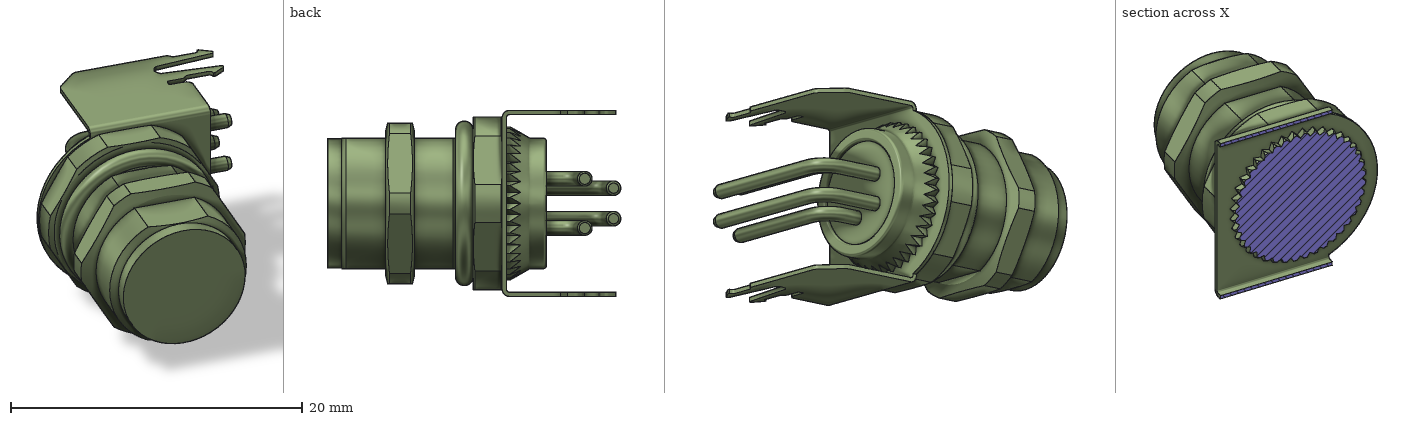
import cadquery as cq
import math


barrel_radius = 4.5
rear_end_x = -3.05
rear_rounding = 0.22
recess_radius = 3.6
recess_depth = 0.22
recess_rounding = 0.2
tooth_cone_start_x = -1.9
tooth_cone_angle = 30
tooth_cone_root_fillet = 0.2
tooth_count = 40
tooth_tip_radius = 5.28
tooth_root_radius = 4.85

flange_length = 2.0
flange_corner_radius = 6.25
flange_flat_distance = 5.95
flange_rear_chamfer = 0.06
flange_rear_face_radius = 6.05
flange_front_chamfer = 0.12
flange_front_face_radius = 5.88

thread_radius = 5.0
thread_flat_distance = barrel_radius
thread_start_x = 3.08
thread_end_x = 11.02
thread_chamfer = 0.28
tip_radius = 4.45
tip_end_x = 11.99

ring_section_radius = 0.6
ring_center_x = flange_length + ring_section_radius
ring_center_radius = tip_radius + ring_section_radius

nut_start_x = 6.02
nut_thickness = 1.97
nut_corner_radius = 6.0
nut_flat_distance = 5.52
nut_chamfer = 0.26

pin_radius = 0.5
pin_bend_radius = 1.5
pin_taper_ratio = 0.4
outer_pins = dict(vertical_x=-5.68, lead_y=0.48, offset_z=1.7, tip_y=9.75, taper_length=0.3)
inner_pins = dict(vertical_x=-7.65, lead_y=-1.47, offset_z=1.05, tip_y=9.57, taper_length=0.38)

sheet_thickness = 0.3
bracket_height = 12.8
bracket_half_height = bracket_height / 2
bend_inner_radius = 0.2
bend_outer_radius = bend_inner_radius + sheet_thickness
bracket_round_radius = 6.3
bracket_top_y = 6.29
bracket_bottom_y = -2.5
bracket_rear_x = -7.82
bracket_corner_cut = 1.6
bracket_corner_radius = 0.6

prong_width = 3.32
prong_half_width = prong_width / 2
prong_center_x = bracket_rear_x + prong_half_width
barb_overhang = 0.3
prong_neck_half_width = prong_half_width - barb_overhang
prong_shoulder_y = 5.95
prong_neck_y = 6.25
barb_under_y = 8.04
barb_low_y = 8.12
barb_high_y = 8.25
prong_tip_y = 9.07
prong_tip_outer = 1.15
prong_tip_inner = 0.9
prong_corner_radius = 0.25
prong_tip_rounding = 0.15
split_bottom_half_width = 0.5
split_side_y = 4.72
split_bottom_y = 4.41

slot_width = 0.48
slot_bottom_y = 4.72
slot_corner_radius = 0.12
slot_mouth_radius = 0.5


def revolve_about_x(points):
    """Solid of revolution about the connector axis from an (x, radius) outline."""
    return cq.Workplane("XY").polyline(points).close().revolve(360, (0, 0, 0), (1, 0, 0))


def cylinder_x(radius, start_x, end_x):
    """Cylinder on the connector axis between two X positions."""
    return cq.Workplane("YZ", origin=(start_x, 0, 0)).circle(radius).extrude(end_x - start_x)


def hex_prism_x(flat_distance, start_x, length):
    """Hexagon along X with one pair of flats facing +Z and -Z."""
    corner_diameter = 2 * flat_distance / math.cos(math.radians(30))
    return cq.Workplane("YZ", origin=(start_x, 0, 0)).polygon(6, corner_diameter).extrude(length)


def make_rear_barrel():
    """Barrel behind the flange, passing through the bracket, with a shallow recess and a rounded rim."""
    barrel = cylinder_x(barrel_radius, rear_end_x, 0).faces("<X").edges().fillet(rear_rounding)
    recess = cylinder_x(recess_radius, rear_end_x, rear_end_x + recess_depth)
    recess_mouth = cq.selectors.RadiusNthSelector(0)
    return barrel.cut(recess).faces("<X").edges(recess_mouth).fillet(recess_rounding)


def make_toothed_cone():
    """Cone behind the bracket, cut to a saw-toothed rim by an axial star profile."""
    cone_length = -sheet_thickness - tooth_cone_start_x
    cone_end_radius = barrel_radius + cone_length * math.tan(math.radians(tooth_cone_angle))
    cone = revolve_about_x([
        (tooth_cone_start_x, recess_radius),
        (tooth_cone_start_x, barrel_radius),
        (-sheet_thickness, cone_end_radius),
        (-sheet_thickness, recess_radius),
    ])
    star_points = []
    for i in range(2 * tooth_count):
        angle = math.pi * i / tooth_count
        radius = tooth_tip_radius if i % 2 else tooth_root_radius
        star_points.append((radius * math.cos(angle), radius * math.sin(angle)))
    star_plane = cq.Workplane("YZ", origin=(tooth_cone_start_x, 0, 0))
    star = star_plane.polyline(star_points).close().extrude(cone_length)
    return cone.intersect(star)


def make_rear_section():
    """Rear barrel joined to its toothed cone, with a fillet where the cone rises from the barrel."""
    cone_root = cq.selectors.BoxSelector(
        (tooth_cone_start_x - tooth_cone_root_fillet, -barrel_radius, -barrel_radius),
        (tooth_cone_start_x + tooth_cone_root_fillet, barrel_radius, barrel_radius),
    )
    rear_section = make_rear_barrel().union(make_toothed_cone())
    return rear_section.edges("%CIRCLE").edges(cone_root).fillet(tooth_cone_root_fillet)


def make_flange():
    """Hexagon with turned corners and a cone on both faces."""
    turned = revolve_about_x([
        (0, 0),
        (0, flange_rear_face_radius),
        (flange_rear_chamfer, flange_corner_radius),
        (flange_length - flange_front_chamfer, flange_corner_radius),
        (flange_length, flange_front_face_radius),
        (flange_length, 0),
    ])
    return turned.intersect(hex_prism_x(flange_flat_distance, 0, flange_length))


def make_threaded_section():
    """Chamfered thread cylinder with a flat on its top and bottom."""
    thread = revolve_about_x([
        (thread_start_x, 0),
        (thread_start_x, tip_radius),
        (thread_start_x + thread_chamfer, thread_radius),
        (thread_end_x - thread_chamfer, thread_radius),
        (thread_end_x, tip_radius),
        (thread_end_x, 0),
    ])
    flats = cq.Workplane("XY").box(
        thread_end_x - thread_start_x, 2 * thread_radius, 2 * thread_flat_distance
    ).translate(((thread_start_x + thread_end_x) / 2, 0, 0))
    return thread.intersect(flats)


def make_pin(side, vertical_x, lead_y, offset_z, tip_y, taper_length):
    """Pin leaving the recess floor along -X and bent up to +Y; side is the sign of its Z."""
    floor_x = rear_end_x + recess_depth
    arc_offset = pin_bend_radius * (1 - math.sqrt(0.5))
    path = (
        cq.Workplane("XY", origin=(0, 0, side * offset_z))
        .moveTo(floor_x, lead_y)
        .lineTo(vertical_x + pin_bend_radius, lead_y)
        .threePointArc(
            (vertical_x + arc_offset, lead_y + arc_offset),
            (vertical_x, lead_y + pin_bend_radius),
        )
        .lineTo(vertical_x, tip_y)
    )
    section = cq.Workplane("YZ", origin=(floor_x, lead_y, side * offset_z)).circle(pin_radius)
    pin = section.sweep(path)
    return pin.faces(">Y").edges().chamfer(taper_length, taper_length * pin_taper_ratio)


def make_housing():
    """Turned housing with its four pins as one body."""
    neck_and_tip = cylinder_x(tip_radius, 0, tip_end_x)
    housing = make_rear_section().union(make_flange()).union(neck_and_tip).union(make_threaded_section())
    for pin_sizes in (outer_pins, inner_pins):
        for side in (1, -1):
            housing = housing.union(make_pin(side, **pin_sizes))
    return housing


def make_o_ring():
    """Ring lying on the neck, against the flange."""
    ring = cq.Solid.makeTorus(
        ring_center_radius, ring_section_radius, cq.Vector(ring_center_x, 0, 0), cq.Vector(1, 0, 0)
    )
    return cq.Workplane(ring)


def make_nut():
    """Hexagon coned down to the thread on both faces, its bore following the thread and its flats."""
    nut_end_x = nut_start_x + nut_thickness
    turned = revolve_about_x([
        (nut_start_x, 0),
        (nut_start_x, thread_radius),
        (nut_start_x + nut_chamfer, nut_corner_radius),
        (nut_end_x - nut_chamfer, nut_corner_radius),
        (nut_end_x, thread_radius),
        (nut_end_x, 0),
    ])
    hexagon = hex_prism_x(nut_flat_distance, nut_start_x, nut_thickness)
    return turned.intersect(hexagon).cut(make_threaded_section())


def prong_corner(side, half_width, y):
    """Point on a prong; side is -1 for the rear prong, +1 for the front one."""
    return (prong_center_x + side * half_width, y)


def make_prong_side(side):
    """Outline of one prong, from its shoulder over the barb and tip to the bottom of the split."""
    return [
        prong_corner(side, prong_half_width, prong_shoulder_y),
        prong_corner(side, prong_neck_half_width, prong_neck_y),
        prong_corner(side, prong_neck_half_width, barb_under_y),
        prong_corner(side, prong_half_width, barb_low_y),
        prong_corner(side, prong_half_width, barb_high_y),
        prong_corner(side, prong_tip_outer, prong_tip_y),
        prong_corner(side, prong_tip_inner, prong_tip_y),
        prong_corner(side, split_bottom_half_width, split_side_y),
    ]


def round_corners(plate, points, radius):
    """Fillet the vertical edges of a plate, centred on Z = 0, that stand at the given XY points."""
    for x, y in points:
        plate = plate.edges("|Z").edges(cq.selectors.NearestToPointSelector((x, y, 0))).fillet(radius)
    return plate


def make_side_outline():
    """Flat outline shared by both side plates, as a solid spanning the full bracket height."""
    rear_prong = make_prong_side(-1)
    front_prong = make_prong_side(1)[::-1]
    lower_cut = (bracket_rear_x + bracket_corner_cut, bracket_bottom_y)
    rear_cut = (bracket_rear_x, bracket_bottom_y + bracket_corner_cut)
    slot_left_x = prong_center_x + prong_half_width
    slot_right_x = slot_left_x + slot_width
    slot_floor = [(slot_left_x, slot_bottom_y), (slot_right_x, slot_bottom_y)]
    slot_mouth = (slot_right_x, bracket_top_y)

    outline = cq.Workplane("XY", origin=(0, 0, -bracket_half_height)).moveTo(0, bracket_bottom_y)
    for point in [lower_cut, rear_cut, *rear_prong]:
        outline = outline.lineTo(*point)
    outline = outline.threePointArc((prong_center_x, split_bottom_y), front_prong[0])
    for point in [*front_prong[1:], *slot_floor, slot_mouth, (0, bracket_top_y)]:
        outline = outline.lineTo(*point)
    plate = outline.close().extrude(bracket_height)

    plate = round_corners(plate, [lower_cut, rear_cut], bracket_corner_radius)
    plate = round_corners(plate, slot_floor, slot_corner_radius)
    plate = round_corners(plate, [slot_mouth], slot_mouth_radius)
    for side in (-1, 1):
        shoulder = prong_corner(side, prong_half_width, prong_shoulder_y)
        neck = prong_corner(side, prong_neck_half_width, prong_neck_y)
        barb_root = prong_corner(side, prong_neck_half_width, barb_under_y)
        tip_outer = prong_corner(side, prong_tip_outer, prong_tip_y)
        tip_inner = prong_corner(side, prong_tip_inner, prong_tip_y)
        plate = round_corners(plate, [shoulder, neck, barb_root], prong_corner_radius)
        plate = round_corners(plate, [tip_outer, tip_inner], prong_tip_rounding)
    return plate


def make_bracket():
    """U-shaped sheet with a rounded web, a bore for the barrel and two pronged side plates."""
    depth = -bracket_rear_x
    inner_depth = depth - sheet_thickness
    channel_length = 2 * prong_tip_y
    outer = (
        cq.Workplane("XY")
        .box(depth, channel_length, bracket_height)
        .translate((-depth / 2, 0, 0))
        .edges(">X and |Y")
        .fillet(bend_outer_radius)
    )
    inner = (
        cq.Workplane("XY")
        .box(inner_depth, channel_length, bracket_height - 2 * sheet_thickness)
        .translate((-sheet_thickness - inner_depth / 2, 0, 0))
        .edges(">X and |Y")
        .fillet(bend_inner_radius)
    )
    channel = outer.cut(inner).intersect(make_side_outline())
    below_side_plates = (
        cq.Workplane("XY")
        .box(2 * sheet_thickness, bracket_round_radius, 2 * bracket_round_radius)
        .translate((0, bracket_bottom_y - bracket_round_radius / 2, 0))
    )
    rounded_web = cylinder_x(bracket_round_radius, -sheet_thickness, 0).intersect(below_side_plates)
    bore = cylinder_x(barrel_radius, -sheet_thickness, 0)
    return channel.union(rounded_web).cut(bore)


housing = make_housing()
o_ring = make_o_ring()
nut = make_nut()
bracket = make_bracket()
result = cq.Compound.makeCompound([housing.val(), o_ring.val(), nut.val(), bracket.val()])